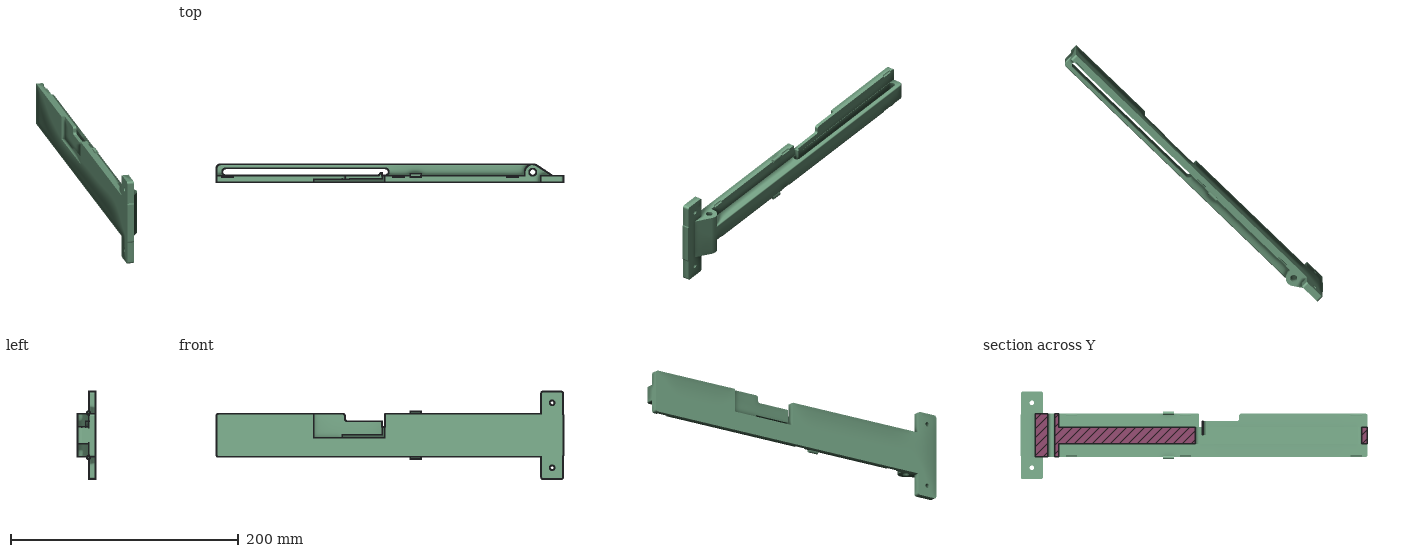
import cadquery as cq
import math

plate_length = 305.0
plate_width = 38.0
plate_thickness = 6.0
corner_radius = 2.0
half_width = plate_width / 2

bar_center_x = 294.8
bar_width = 19.5
bar_height = 77.0
bar_hole_diameter = 4.0
bar_hole_spacing = 57.0

rail_width = 15.0
rail_top_y = 16.0
rail_corner_radius = 4.0
rail_edge_radius = 1.0
slot_start_x = 5.3
slot_end_x = 151.3
slot_width = 6.0
slot_floor = 0.25
slot_center_y = plate_thickness + slot_floor + slot_width / 2

lug_radius = 7.0
lug_center_x = 277.8
lug_center_y = rail_top_y - lug_radius
lug_foot_x = 295.0
pin_hole_diameter = 6.0

pocket_start_x = 85.5
pocket_end_x = 148.0
pocket_bottom_z = -2.0
pocket_depth = 3.0
mouth_start_x = 113.0
mouth_end_corner_radius = 1.0

tongue_root_x = 115.0
tongue_tip_x = 145.5
tongue_bottom_z = 0.5
tongue_top_z = 12.5
tongue_rise = 0.25
relief_start_x = 110.5
hook_top_y = 8.5
hook_length = 3.0
hook_tip_width = 1.0

bead_diameter = 3.0
bead_length = 9.5
bead_center_x = 175.0
bead_offset_y = 0.25
bead_offset_z = 0.5
groove_diameter = 3.0
groove_length = 10.0
groove_centers_x = (10.0, 160.0, 260.0)


def box(x0, x1, y0, y1, z0, z1):
    """Axis-aligned block between two opposite corners."""
    return cq.Workplane("XY").box(x1 - x0, y1 - y0, z1 - z0, centered=False).translate((x0, y0, z0))


def extrude_z(sketch, z0, z1):
    """Extrude a closed XY outline from z0 up to z1."""
    return sketch.extrude(z1 - z0).translate((0, 0, z0))


def make_plate():
    plate = box(0, plate_length, 0, plate_thickness, -half_width, half_width)
    bar = box(
        bar_center_x - bar_width / 2, bar_center_x + bar_width / 2,
        0, plate_thickness, -bar_height / 2, bar_height / 2,
    )
    return plate.edges("|Y").fillet(corner_radius).union(bar.edges("|Y").fillet(corner_radius))


def cut_bar_holes(body):
    for side in (-1, 1):
        hole = (
            cq.Workplane("XZ")
            .center(bar_center_x, side * bar_hole_spacing / 2)
            .circle(bar_hole_diameter / 2)
            .extrude(-plate_thickness)
        )
        body = body.cut(hole)
    return body


def make_rail():
    rail = box(0, lug_center_x, plate_thickness, rail_top_y, -rail_width / 2, rail_width / 2)
    rail = rail.edges("|Z and <X and >Y").fillet(rail_corner_radius)
    rail = rail.faces(">Y").edges("|X").edges(">Z or <Z").fillet(rail_edge_radius)
    slot = (
        cq.Workplane("XY")
        .center((slot_start_x + slot_end_x) / 2, slot_center_y)
        .slot2D(slot_end_x - slot_start_x, slot_width)
        .extrude(rail_width, both=True)
    )
    return rail.cut(slot)


def make_lug():
    foot_dx = lug_foot_x - lug_center_x
    foot_dy = plate_thickness - lug_center_y
    foot_angle = math.atan2(foot_dy, foot_dx)
    tangent_angle = foot_angle + math.acos(lug_radius / math.hypot(foot_dx, foot_dy))
    tangent_point = (
        lug_center_x + lug_radius * math.cos(tangent_angle),
        lug_center_y + lug_radius * math.sin(tangent_angle),
    )
    outline = (
        cq.Workplane("XY")
        .moveTo(lug_center_x - lug_radius, 0)
        .lineTo(lug_center_x - lug_radius, lug_center_y)
        .threePointArc((lug_center_x, rail_top_y), tangent_point)
        .lineTo(lug_foot_x, plate_thickness)
        .lineTo(lug_foot_x, 0)
        .close()
    )
    return extrude_z(outline, -half_width, half_width)


def cut_pin_hole(body):
    hole = (
        cq.Workplane("XY")
        .center(lug_center_x, lug_center_y)
        .circle(pin_hole_diameter / 2)
        .extrude(plate_width, both=True)
    )
    return body.cut(hole)


def round_cross_edge(body, point, radius):
    """Round the edge parallel to Y that lies nearest to the given point."""
    nearest = cq.selectors.NearestToPointSelector(point)
    return body.edges("|Y").edges(nearest).fillet(radius)


def cut_latch_window(plate):
    pocket = box(pocket_start_x, pocket_end_x, 0, pocket_depth, pocket_bottom_z, half_width)
    mouth = box(mouth_start_x, pocket_end_x, 0, plate_thickness, tongue_top_z, half_width)
    relief = box(relief_start_x, pocket_end_x, 0, plate_thickness, pocket_bottom_z, tongue_bottom_z)
    tongue_space = box(
        tongue_root_x, pocket_end_x, 0, plate_thickness, pocket_bottom_z, tongue_top_z,
    )
    plate = plate.cut(pocket).cut(mouth)
    web_center_y = (pocket_depth + plate_thickness) / 2
    plate = round_cross_edge(plate, (pocket_end_x, plate_thickness / 2, half_width), mouth_end_corner_radius)
    plate = round_cross_edge(plate, (mouth_start_x, web_center_y, half_width), corner_radius)
    plate = round_cross_edge(plate, (mouth_start_x, web_center_y, tongue_top_z), corner_radius)
    return plate.cut(relief).cut(tongue_space)


def make_tongue():
    tip_front_y = pocket_depth + tongue_rise
    tip_back_y = plate_thickness + tongue_rise
    outline = (
        cq.Workplane("XY")
        .moveTo(tongue_root_x, pocket_depth)
        .lineTo(tongue_tip_x, tip_front_y)
        .lineTo(tongue_tip_x, hook_top_y)
        .lineTo(tongue_tip_x - hook_tip_width, hook_top_y)
        .lineTo(tongue_tip_x - hook_length, tip_back_y)
        .lineTo(tongue_root_x, plate_thickness)
        .close()
    )
    return extrude_z(outline, tongue_bottom_z, tongue_top_z)


def edge_cylinder(center_x, diameter, length, side):
    """Round bar centred on the back edge of the plate on the given side."""
    return (
        cq.Workplane("YZ")
        .center(plate_thickness, side * half_width)
        .circle(diameter / 2)
        .extrude(length)
        .translate((center_x - length / 2, 0, 0))
    )


def add_snap_features(body):
    for side in (-1, 1):
        bead = edge_cylinder(bead_center_x, bead_diameter, bead_length, side)
        body = body.union(bead.translate((0, bead_offset_y, side * bead_offset_z)))
        for groove_x in groove_centers_x:
            body = body.cut(edge_cylinder(groove_x, groove_diameter, groove_length, side))
    return body


result = cut_latch_window(make_plate())
result = result.union(make_rail()).union(make_tongue())
result = cut_pin_hole(result.union(make_lug()))
result = add_snap_features(cut_bar_holes(result))